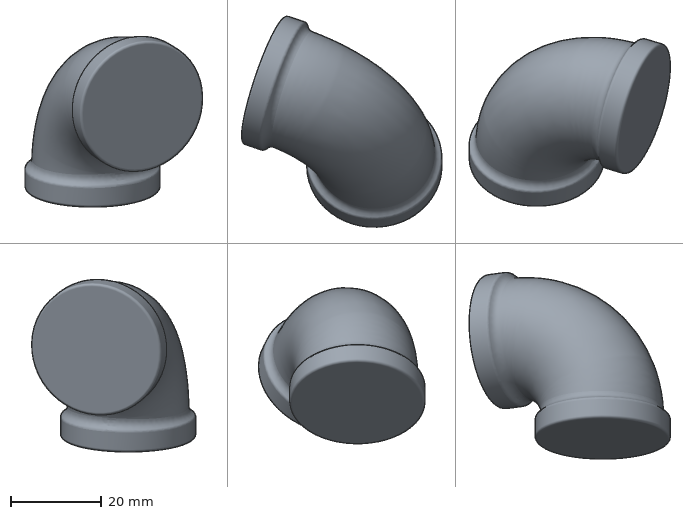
import cadquery as cq

leg_length = 26.0
collar_diameter = 30.0
collar_height = 4.8
body_diameter = 27.0
bend_angle = 90.0
neck_fillet = 2.0
shoulder_round = 0.8
rim_round = 0.6

collar_radius = collar_diameter / 2
body_radius = body_diameter / 2
bend_radius = leg_length - collar_height
disc_radius = body_radius + 2 * neck_fillet
trim_height = collar_height + neck_fillet
trim_radius = disc_radius + neck_fillet


def leg_cylinder(radius, height):
    """Cylinder rising from the end face of the lower leg."""
    return cq.Workplane("XY", origin=(0, 0, -leg_length)).circle(radius).extrude(height)


def nearest_to_leg_axis(height):
    """Selector for what lies nearest the lower leg axis, this far above the end face."""
    return cq.selectors.NearestToPointSelector((0, 0, height - leg_length))


def make_bend():
    """Quarter-torus body joining the two collars."""
    bend_start = cq.Workplane("XY", origin=(0, 0, -bend_radius)).circle(body_radius)
    return bend_start.revolve(bend_angle, (bend_radius, 0, 0), (bend_radius, 1, 0))


def add_lower_collar(body):
    """Add the collar of the lower leg, with its filleted neck and rounded edges."""
    body = body.union(leg_cylinder(disc_radius, collar_height))
    body = body.edges(nearest_to_leg_axis(collar_height)).fillet(neck_fillet)

    trim_ring = leg_cylinder(trim_radius, trim_height).cut(leg_cylinder(collar_radius, trim_height))
    body = body.cut(trim_ring)

    collar_side = body.faces(nearest_to_leg_axis(collar_height / 2))
    body = collar_side.edges(">Z").fillet(shoulder_round)
    return body.edges(nearest_to_leg_axis(0)).fillet(rim_round)


def swap_legs(body):
    """Mirror about the plane X = -Z, which exchanges the two legs."""
    return body.rotate((0, 0, 0), (0, 1, 0), -90).mirror("XY")


one_collar = swap_legs(add_lower_collar(make_bend()))
result = swap_legs(add_lower_collar(one_collar))